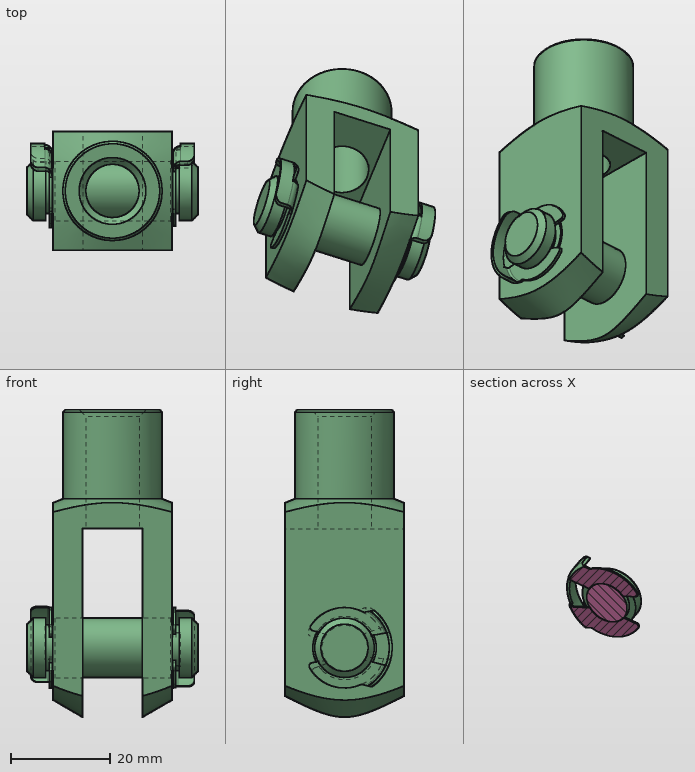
import cadquery as cq
import math


total_height = 62.0
body_width = 24.0
half_width = body_width / 2
slot_width = body_width / 2
slot_top = body_width
pin_to_bottom = 14.0
clevis_bottom = -pin_to_bottom
clevis_top = total_height - pin_to_bottom
shank_radius = 20.0 / 2
shank_length = 18.0
shank_chamfer = 0.5
shoulder_angle = 21.0
tip_angle = 30.0
bore_diameter = 10.7
bore_chamfer = 1.35
pin_hole_chamfer = 0.4

pin_length = 34.5
pin_radius = slot_width / 2
pin_chamfer = 1.25
groove_radius = 4.6
groove_width = 1.4

clip_gap = 0.155
clip_thickness = 0.59
plate_radius = 8.1
strip_radius = 9.6
strip_end = 4.5
outer_bend = 1.55
inner_bend = 0.4
strip_corner = 1.5
jaw_corner = 0.7
cut_angle = 12.5
strip_half_width = 6.45
window_half_width = 1.4
mouth_half_width = 1.8
left_clip_tilt = 7.0
right_clip_tilt = -1.8

margin = 0.6


def make_clevis():
    """Square fork with a round shank, coned at both ends and bored through to the slot."""
    corner_radius = half_width * math.sqrt(2) + margin
    shoulder_z = clevis_top - shank_length
    shoulder_drop = (corner_radius - shank_radius) * math.tan(math.radians(shoulder_angle))
    tip_radius = slot_width / 2
    tip_rise = (corner_radius - tip_radius) * math.tan(math.radians(tip_angle))

    turned = (
        cq.Workplane("XZ")
        .moveTo(0, clevis_bottom)
        .lineTo(tip_radius, clevis_bottom)
        .lineTo(corner_radius, clevis_bottom + tip_rise)
        .lineTo(corner_radius, shoulder_z - shoulder_drop)
        .lineTo(shank_radius, shoulder_z)
        .lineTo(shank_radius, clevis_top)
        .lineTo(0, clevis_top)
        .close()
        .revolve(360, (0, 0, 0), (0, 1, 0))
        .faces(">Z")
        .chamfer(shank_chamfer)
    )
    square = (
        cq.Workplane("XY", origin=(0, 0, clevis_bottom))
        .rect(body_width, body_width)
        .extrude(total_height)
    )
    slot = (
        cq.Workplane("XY", origin=(0, 0, clevis_bottom))
        .rect(slot_width, body_width)
        .extrude(slot_top - clevis_bottom)
    )
    bore = (
        cq.Workplane("XY", origin=(0, 0, clevis_top))
        .circle(bore_diameter / 2)
        .extrude(slot_top - clevis_top)
        .faces(">Z")
        .workplane()
        .circle(bore_diameter / 2 + bore_chamfer)
        .workplane(offset=-bore_chamfer)
        .circle(bore_diameter / 2)
        .loft()
    )
    fork = turned.intersect(square).cut(slot).cut(bore)
    return fork.cut(make_pin_hole())


def make_pin_hole():
    """Cross hole for the pin, widened by a chamfer at both outer faces of the fork."""
    wide_radius = pin_radius + pin_hole_chamfer
    return (
        cq.Workplane("XY")
        .moveTo(-half_width, 0)
        .lineTo(-half_width, wide_radius)
        .lineTo(-half_width + pin_hole_chamfer, pin_radius)
        .lineTo(half_width - pin_hole_chamfer, pin_radius)
        .lineTo(half_width, wide_radius)
        .lineTo(half_width, 0)
        .close()
        .revolve(360, (0, 0, 0), (1, 0, 0))
    )


def make_pin():
    """Plain pin with chamfered ends and a clip groove just outside each fork face."""
    pin = (
        cq.Workplane("YZ", origin=(-pin_length / 2, 0, 0))
        .circle(pin_radius)
        .extrude(pin_length)
        .faces("<X or >X")
        .chamfer(pin_chamfer)
    )
    for groove_start in (-half_width - groove_width, half_width):
        groove = (
            cq.Workplane("YZ", origin=(groove_start, 0, 0))
            .circle(pin_radius)
            .circle(groove_radius)
            .extrude(groove_width)
        )
        pin = pin.cut(groove)
    return pin


def make_wedge(center_half_width, length, start, depth):
    """Prism along X, widening from the pin axis toward +Y (or -Y for a negative length)."""
    end_half_width = center_half_width + abs(length) * math.tan(math.radians(cut_angle))
    return (
        cq.Workplane("YZ", origin=(start, 0, 0))
        .polyline([
            (0, -center_half_width),
            (length, -end_half_width),
            (length, end_half_width),
            (0, center_half_width),
        ])
        .close()
        .extrude(depth)
    )


def make_clip():
    """Open ring for the +X groove, with a strip bent outward along its +Y side."""
    back = half_width + clip_gap
    front = back + clip_thickness
    end = half_width + strip_end
    reach = strip_radius + margin
    strip_inner = strip_radius - clip_thickness
    arc_inset = 1 - math.sqrt(0.5)

    outer_mid = (back + outer_bend * arc_inset, strip_radius - outer_bend * arc_inset)
    inner_mid = (front + inner_bend * arc_inset, strip_inner - inner_bend * arc_inset)
    cup = (
        cq.Workplane("XY")
        .moveTo(back, groove_radius)
        .lineTo(back, strip_radius - outer_bend)
        .threePointArc(outer_mid, (back + outer_bend, strip_radius))
        .lineTo(end, strip_radius)
        .lineTo(end, strip_inner)
        .lineTo(front + inner_bend, strip_inner)
        .threePointArc(inner_mid, (front, strip_inner - inner_bend))
        .lineTo(front, groove_radius)
        .close()
        .revolve(360, (0, 0, 0), (1, 0, 0))
    )
    strip_band = (
        make_wedge(strip_half_width, reach, back, end - back)
        .faces(">X")
        .edges("not |Z")
        .fillet(strip_corner)
    )
    strip = cup.intersect(strip_band)

    mouth = make_wedge(mouth_half_width, -reach, back, clip_thickness)
    ring = (
        cq.Workplane("YZ", origin=(back, 0, 0))
        .circle(plate_radius)
        .circle(groove_radius)
        .extrude(clip_thickness)
        .cut(mouth)
    )
    jaw_ends = cq.selectors.BoxSelector(
        (back - margin, -plate_radius - margin, -plate_radius / 2),
        (front + margin, -pin_radius, plate_radius / 2),
    )
    ring = ring.edges("|X").edges(jaw_ends).fillet(jaw_corner)

    window = make_wedge(window_half_width, reach, back, outer_bend)
    return ring.union(strip).cut(window)


clevis = make_clevis()
pin = make_pin()
right_clip = make_clip().rotate((0, 0, 0), (1, 0, 0), right_clip_tilt)
left_clip = make_clip().mirror("YZ").rotate((0, 0, 0), (1, 0, 0), left_clip_tilt)

result = cq.Compound.makeCompound([clevis.val(), pin.val(), right_clip.val(), left_clip.val()])